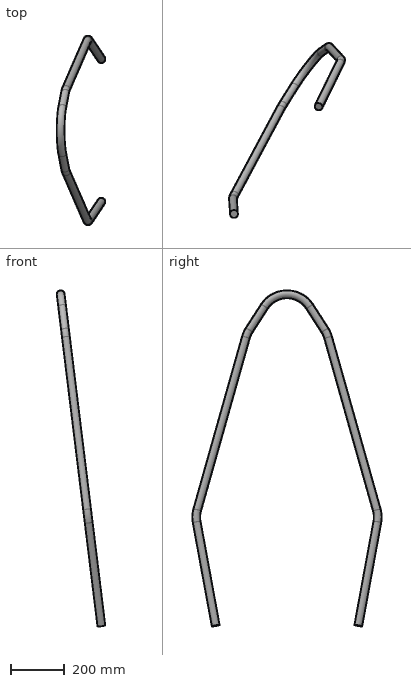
import cadquery as cq
import math

bar_diameter = 30.0
bend_radius = 100.0
lean_angle = 7.0

foot_half_width = 267.0
foot_depth = 1248.0
shoulder_half_width = 342.0
shoulder_depth = 835.0
neck_half_width = 150.0

crown_side_angle = math.radians(32.6)
apex_rise = bend_radius * (1 / math.sin(crown_side_angle) - 1)
neck_depth = neck_half_width / math.tan(crown_side_angle) - apex_rise


def rounded_path(corners, radius):
    """Open path through the corners, with every inner corner rounded by a tangent arc."""
    points = [cq.Vector(*corner) for corner in corners]
    edges = []
    start = points[0]
    for before, corner, after in zip(points, points[1:], points[2:]):
        back = (before - corner).normalized()
        ahead = (after - corner).normalized()
        half_angle = back.getAngle(ahead) / 2
        setback = radius / math.tan(half_angle)
        arc_gap = radius / math.sin(half_angle) - radius
        arc_start = corner + back * setback
        arc_middle = corner + (back + ahead).normalized() * arc_gap
        arc_end = corner + ahead * setback
        edges.append(cq.Edge.makeLine(start, arc_start))
        edges.append(cq.Edge.makeThreePointArc(arc_start, arc_middle, arc_end))
        start = arc_end
    edges.append(cq.Edge.makeLine(start, points[-1]))
    return cq.Wire.assembleEdges(edges)


left_side = [
    (0, -foot_half_width, -foot_depth),
    (0, -shoulder_half_width, -shoulder_depth),
    (0, -neck_half_width, -neck_depth),
]
right_side = [(x, -y, z) for x, y, z in reversed(left_side)]
corners = left_side + [(0, 0, apex_rise)] + right_side
path = rounded_path(corners, bend_radius)

foot = cq.Vector(*corners[0])
leg_direction = cq.Vector(*corners[1]) - foot
foot_plane = cq.Plane(origin=foot, xDir=(1, 0, 0), normal=leg_direction)
hoop = cq.Workplane(foot_plane).circle(bar_diameter / 2).sweep(path)

result = hoop.rotate((0, 0, 0), (0, 1, 0), -lean_angle)